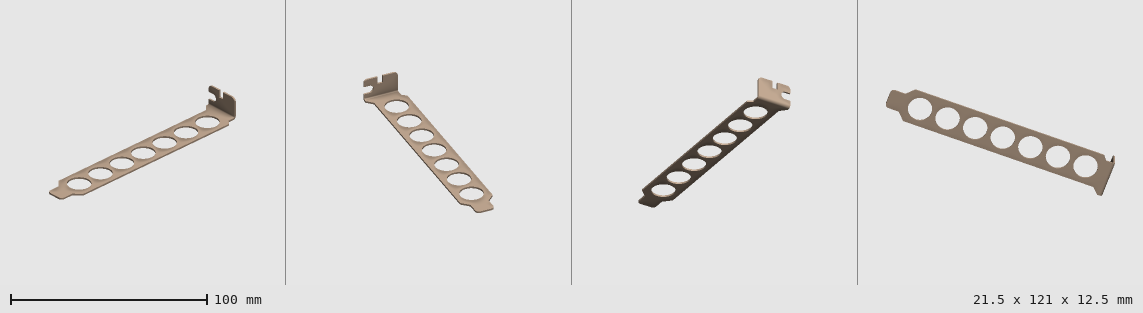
import cadquery as cq

length = 121.0
width = 21.5
height = 12.5
thickness = 1.0
bend_inner_radius = 0.7
bend_outer_radius = bend_inner_radius + thickness

flange_width = 19.0
body_left = 3.3
body_center = (body_left + width) / 2
left_taper_start = length - 2.8
left_taper_end = length - 6.0
right_taper_start = length - 5.1
right_taper_end = length - 7.0
shoulder_y = 11.5
tab_width = 10.2
tab_root_y = 7.6
tab_corner_radius = 1.9

hole_count = 7
hole_diameter = 12.5
hole_pitch = 15.0
first_hole_y = 17.3

flange_corner_radius = 2.0
screw_slot_width = 4.4
screw_slot_depth = 5.3
screw_slot_z = 6.2
notch_left = 7.6
notch_width = 2.9
notch_floor_z = 8.4


def bent_sheet():
    """Full-width L profile with a rounded bend."""
    profile = (
        cq.Workplane("YZ")
        .polyline([
            (0, 0),
            (length, 0),
            (length, height),
            (length - thickness, height),
            (length - thickness, thickness),
            (0, thickness),
        ])
        .close()
        .extrude(width)
    )
    inner_corner = cq.selectors.NearestToPointSelector((width / 2, length - thickness, thickness))
    outer_corner = cq.selectors.NearestToPointSelector((width / 2, length, 0))
    profile = profile.edges(inner_corner).fillet(bend_inner_radius)
    return profile.edges(outer_corner).fillet(bend_outer_radius)


def strip_outline():
    """Outline seen from above, extruded through the full height."""
    tab_left = body_center - tab_width / 2
    tab_right = body_center + tab_width / 2
    outline = (
        cq.Workplane("XY")
        .polyline([
            (tab_left, 0),
            (tab_right, 0),
            (tab_right, tab_root_y),
            (width, shoulder_y),
            (width, right_taper_end),
            (flange_width, right_taper_start),
            (flange_width, length),
            (0, length),
            (0, left_taper_start),
            (body_left, left_taper_end),
            (body_left, shoulder_y),
            (tab_left, tab_root_y),
        ])
        .close()
        .extrude(height)
    )
    return outline.edges("|Z and <Y").fillet(tab_corner_radius)


def hole_row():
    centers = [(body_center, first_hole_y + i * hole_pitch) for i in range(hole_count)]
    return cq.Workplane("XY").pushPoints(centers).circle(hole_diameter / 2).extrude(height)


def screw_slot():
    """Round-ended slot open at the left edge of the flange."""
    return (
        cq.Workplane("XZ", origin=(0, length, 0))
        .center(0, screw_slot_z)
        .slot2D(2 * screw_slot_depth, screw_slot_width)
        .extrude(thickness)
    )


def top_notch():
    return cq.Workplane("XY").box(
        notch_width, thickness, height - notch_floor_z, centered=False
    ).translate((notch_left, length - thickness, notch_floor_z))


bracket = bent_sheet().intersect(strip_outline())
bracket = bracket.edges("|Y and >Z").fillet(flange_corner_radius)
result = bracket.cut(hole_row()).cut(screw_slot()).cut(top_notch())